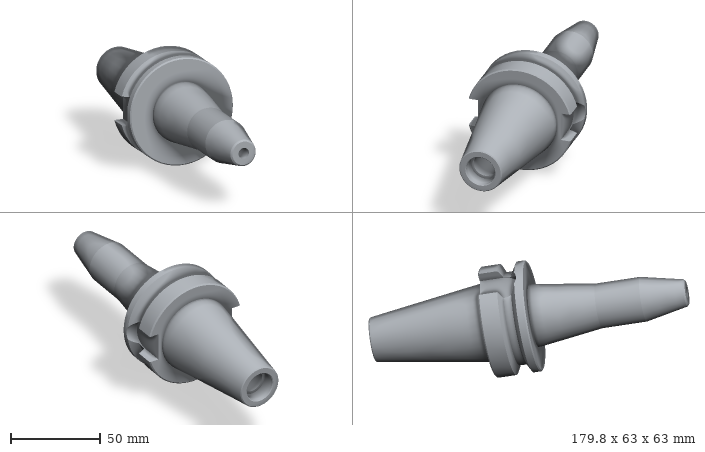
import cadquery as cq

total_length = 179.8

taper_small_diameter = 25.4
taper_large_diameter = 44.5
taper_length = 65.1
taper_end_chamfer = 0.5

flange_diameter = 63.0
flange_start = 66.4
flange_end = 92.3
flange_chamfer = 0.7
groove_floor_diameter = 52.9
groove_start = 77.5
groove_floor_start = 80.0
groove_floor_end = 84.5
groove_end = 87.4

collar_diameter = 35.5
collar_end = 93.9
neck_diameter = 25.4
neck_start = 129.5
neck_end = 155.0
tip_diameter = 15.5
tip_chamfer = 0.9

slot_width = 16.7
slot_end = 88.5
slot_floor_offset = 24.6

mouth_diameter = 17.0
mouth_depth = 8.3
mouth_chamfer = 0.45
thread_diameter = 13.7
thread_end = 32.4
relief_diameter = 8.0
relief_end = 64.7
through_diameter = 6.3


def revolve_about_x(outline):
    """Revolve (x, diameter) points, closed along the axis, into a solid."""
    points = [(x, diameter / 2) for x, diameter in outline]
    first_x = points[0][0]
    last_x = points[-1][0]
    closed = [(first_x, 0)] + points + [(last_x, 0)]
    return cq.Workplane("XY").polyline(closed).close().revolve(360, (0, 0, 0), (1, 0, 0))


def make_body():
    flange_edge_diameter = flange_diameter - 2 * flange_chamfer
    return revolve_about_x([
        (0, taper_small_diameter - 2 * taper_end_chamfer),
        (taper_end_chamfer, taper_small_diameter),
        (taper_length, taper_large_diameter),
        (flange_start, taper_large_diameter),
        (flange_start, flange_edge_diameter),
        (flange_start + flange_chamfer, flange_diameter),
        (groove_start, flange_diameter),
        (groove_floor_start, groove_floor_diameter),
        (groove_floor_end, groove_floor_diameter),
        (groove_end, flange_diameter),
        (flange_end - flange_chamfer, flange_diameter),
        (flange_end, flange_edge_diameter),
        (flange_end, collar_diameter),
        (collar_end, collar_diameter),
        (neck_start, neck_diameter),
        (neck_end, neck_diameter),
        (total_length - tip_chamfer, tip_diameter),
        (total_length, tip_diameter - 2 * tip_chamfer),
    ])


def make_bore():
    return revolve_about_x([
        (0, mouth_diameter + 2 * mouth_chamfer),
        (mouth_chamfer, mouth_diameter),
        (mouth_depth, mouth_diameter),
        (mouth_depth, thread_diameter),
        (thread_end, thread_diameter),
        (thread_end, relief_diameter),
        (relief_end, relief_diameter),
        (relief_end, through_diameter),
        (total_length, through_diameter),
    ])


def make_drive_slot(side):
    """Round-ended slot cutter, open toward the taper; side is -1 or +1 along Y."""
    end_radius = slot_width / 2
    arc_center = slot_end - end_radius
    depth = flange_diameter / 2 - slot_floor_offset
    return (
        cq.Workplane("XZ", origin=(0, side * slot_floor_offset, 0))
        .moveTo(flange_start, -end_radius)
        .lineTo(arc_center, -end_radius)
        .threePointArc((slot_end, 0), (arc_center, end_radius))
        .lineTo(flange_start, end_radius)
        .close()
        .extrude(-side * depth)
    )


result = make_body().cut(make_bore())
for side in (-1, 1):
    result = result.cut(make_drive_slot(side))